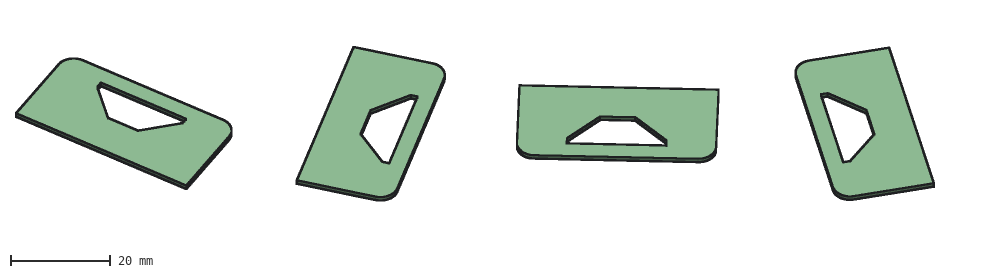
import cadquery as cq

plate_length = 40.0
plate_width = plate_length / 2
plate_thickness = 1.0
corner_radius = 3.5

window_length = plate_length / 2
window_top_margin = 3.65
window_side_height = 1.4
window_flank_run = 6.5

window_top = plate_width / 2 - window_top_margin
window_shoulder = window_top - window_side_height
window_bottom = window_shoulder - window_flank_run
window_half_top = window_length / 2
window_half_bottom = window_half_top - window_flank_run


def make_plate():
    """Flat plate with its two rear corners rounded."""
    plate = cq.Workplane("XY").box(plate_length, plate_width, plate_thickness)
    return plate.edges("|Z and >Y").fillet(corner_radius)


def make_window():
    """Cutter for the six-sided through window."""
    outline = [
        (-window_half_top, window_top),
        (window_half_top, window_top),
        (window_half_top, window_shoulder),
        (window_half_bottom, window_bottom),
        (-window_half_bottom, window_bottom),
        (-window_half_top, window_shoulder),
    ]
    return cq.Workplane("XY").polyline(outline).close().extrude(plate_thickness, both=True)


result = make_plate().cut(make_window())